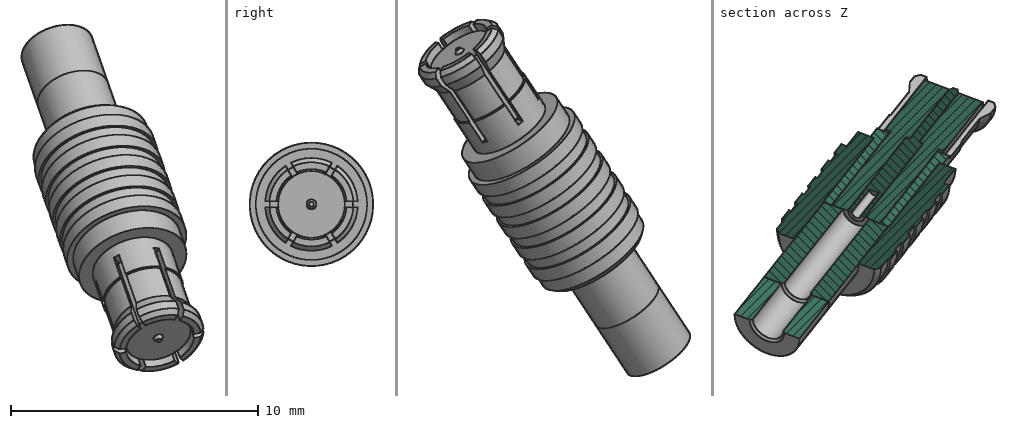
import cadquery as cq


front_x = 16.0
ferrule_front_x = 2.5
housing_rear_x = 5.0
housing_front_x = 11.75
joint_x = 7.5
finger_bore_start_x = 12.4
insulator_front_x = 15.7

tail_diameter = 3.0
ferrule_bore = 1.4
tube_bore = 1.2
entry_chamfer = 0.1

housing_diameter = 4.8
housing_chamfer = 0.2
nose_diameter = 4.5
ridge_diameter = 5.0
ridge_width = 0.6
ridge_pitch = 1.1
ridge_count = 5
first_ridge_x = 5.8
nose_start_x = first_ridge_x + (ridge_count - 1) * ridge_pitch + ridge_width

neck_diameter = 3.36
waist_diameter = 3.27
bulge_diameter = 3.75
tip_diameter = 3.4
neck_end_x = 13.33
neck_step_length = 0.05
flare_start_x = 14.9
bulge_start_x = 15.4
bulge_end_x = 15.8
shank_bore = 2.2
finger_bore = 2.85
slot_count = 6
slot_width = 0.25
slot_start_x = 12.3

insulator_diameter = 2.7
pin_body_diameter = 0.75
contact_diameter = 0.4
contact_tip_diameter = 0.2
contact_front_x = 15.85
wire_hole_diameter = 0.4
wire_hole_depth = 1.5


def cylinder(start_x, end_x, diameter):
    """Solid cylinder along X between two places."""
    return cq.Workplane("YZ").workplane(offset=start_x).circle(diameter / 2).extrude(end_x - start_x)


def turned(profile):
    """Solid of revolution about X from (place, diameter) pairs listed from rear to front."""
    outline = [(x, diameter / 2) for x, diameter in profile]
    start = (profile[0][0], 0)
    end = (profile[-1][0], 0)
    return cq.Workplane("XY").polyline([start, *outline, end]).close().revolve(360, (0, 0, 0), (1, 0, 0))


def make_tail_sleeve(start_x, end_x, bore):
    """Plain sleeve whose bore is chamfered at the rear."""
    opening = turned([
        (start_x, bore + 2 * entry_chamfer),
        (start_x + entry_chamfer, bore),
        (end_x, bore),
    ])
    return cylinder(start_x, end_x, tail_diameter).cut(opening)


def make_housing():
    """Grip with raised ridges, a chamfered rear edge and a smaller nose."""
    housing = turned([
        (housing_rear_x, housing_diameter - 2 * housing_chamfer),
        (housing_rear_x + housing_chamfer, housing_diameter),
        (nose_start_x, housing_diameter),
        (nose_start_x, nose_diameter),
        (housing_front_x, nose_diameter),
    ])
    for index in range(ridge_count):
        ridge_x = first_ridge_x + index * ridge_pitch
        housing = housing.union(cylinder(ridge_x, ridge_x + ridge_width, ridge_diameter))
    return housing.cut(cylinder(housing_rear_x, housing_front_x, tail_diameter))


def make_collet():
    """Shank held in the housing, then a neck and flared spring fingers split by slots."""
    collet = turned([
        (joint_x, tail_diameter),
        (housing_front_x, tail_diameter),
        (housing_front_x, neck_diameter),
        (neck_end_x, neck_diameter),
        (neck_end_x + neck_step_length, waist_diameter),
        (flare_start_x, waist_diameter),
        (bulge_start_x, bulge_diameter),
        (bulge_end_x, bulge_diameter),
        (front_x, tip_diameter),
    ])
    collet = collet.cut(cylinder(joint_x, finger_bore_start_x, shank_bore))
    collet = collet.cut(cylinder(finger_bore_start_x, front_x, finger_bore))
    slot = cq.Workplane("XY").box(
        front_x - slot_start_x, bulge_diameter / 2, slot_width, centered=(False, False, True)
    ).translate((slot_start_x, 0, 0))
    for index in range(slot_count):
        angle = index * 360 / slot_count
        collet = collet.cut(slot.rotate((0, 0, 0), (1, 0, 0), angle))
    return collet


def make_insulator():
    """Insulating bush around the pin: fits the shank bore, with a wider part inside the fingers."""
    bush = turned([
        (joint_x, shank_bore),
        (finger_bore_start_x, shank_bore),
        (finger_bore_start_x, insulator_diameter),
        (insulator_front_x, insulator_diameter),
    ])
    return bush.cut(make_pin_blank())


def make_pin_blank():
    """Centre pin without its wire hole: a thick rear body and a thin contact with a tapered tip."""
    return turned([
        (joint_x, pin_body_diameter),
        (finger_bore_start_x, pin_body_diameter),
        (finger_bore_start_x, contact_diameter),
        (insulator_front_x, contact_diameter),
        (contact_front_x, contact_tip_diameter),
    ])


def make_pin():
    """Centre pin with a wire hole in its rear end."""
    return make_pin_blank().cut(cylinder(joint_x, joint_x + wire_hole_depth, wire_hole_diameter))


ferrule = make_tail_sleeve(0, ferrule_front_x, ferrule_bore)
cable_tube = make_tail_sleeve(ferrule_front_x, joint_x, tube_bore)
housing = make_housing()
collet = make_collet()
insulator = make_insulator()
pin = make_pin()

result = cq.Compound.makeCompound([
    ferrule.val(),
    cable_tube.val(),
    housing.val(),
    collet.val(),
    insulator.val(),
    pin.val(),
])